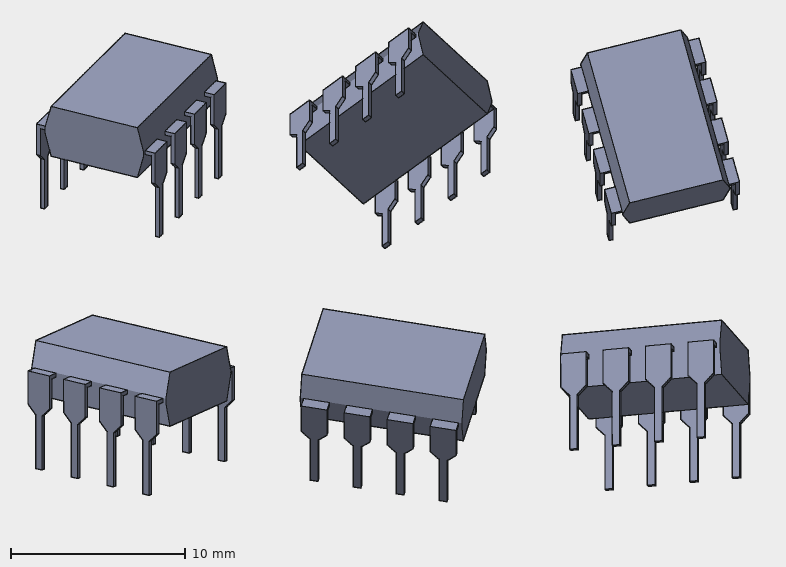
import cadquery as cq

body_length = 9.53
body_waist_width = 6.35
body_face_width = 5.55
body_height = 3.3
waist_top_depth = 1.525

overall_width = 7.62
overall_height = 7.36
leads_per_side = 4
lead_pitch = 2.535
lead_thickness = 0.25
shoulder_width = 1.525
pin_width = 0.46
taper_top_depth = 3.545
taper_height = (shoulder_width - pin_width) / 2

body_top = overall_height
body_bottom = body_top - body_height
waist_top = body_top - waist_top_depth
waist_bottom = waist_top - lead_thickness
taper_top = body_top - taper_top_depth
taper_bottom = taper_top - taper_height


def make_body():
    """Prism with a hexagon-like section and a narrow vertical waist band."""
    half_face = body_face_width / 2
    half_waist = body_waist_width / 2
    return (
        cq.Workplane("XZ")
        .moveTo(0, body_top)
        .lineTo(half_face, body_top)
        .lineTo(half_waist, waist_top)
        .lineTo(half_waist, waist_bottom)
        .lineTo(half_face, body_bottom)
        .lineTo(0, body_bottom)
        .mirrorY()
        .extrude(body_length / 2, both=True)
    )


def make_lead():
    """Lead at Y = 0 on the +X side: a tapered blade joined to the body by a flat arm."""
    outer_x = overall_width / 2
    inner_x = body_face_width / 2
    half_shoulder = shoulder_width / 2
    half_pin = pin_width / 2

    blade = (
        cq.Workplane("YZ", origin=(outer_x - lead_thickness, 0, 0))
        .moveTo(0, waist_top)
        .lineTo(half_shoulder, waist_top)
        .lineTo(half_shoulder, taper_top)
        .lineTo(half_pin, taper_bottom)
        .lineTo(half_pin, 0)
        .lineTo(0, 0)
        .mirrorY()
        .extrude(lead_thickness)
    )
    arm = cq.Workplane("XY", origin=(inner_x, 0, waist_bottom)).box(
        outer_x - inner_x, shoulder_width, lead_thickness, centered=(False, True, False)
    )
    return blade.union(arm)


right_lead = make_lead()
left_lead = right_lead.mirror("YZ")
first_lead_y = -lead_pitch * (leads_per_side - 1) / 2

result = make_body()
for index in range(leads_per_side):
    lead_y = first_lead_y + index * lead_pitch
    for lead in (right_lead, left_lead):
        result = result.union(lead.translate((0, lead_y, 0)))